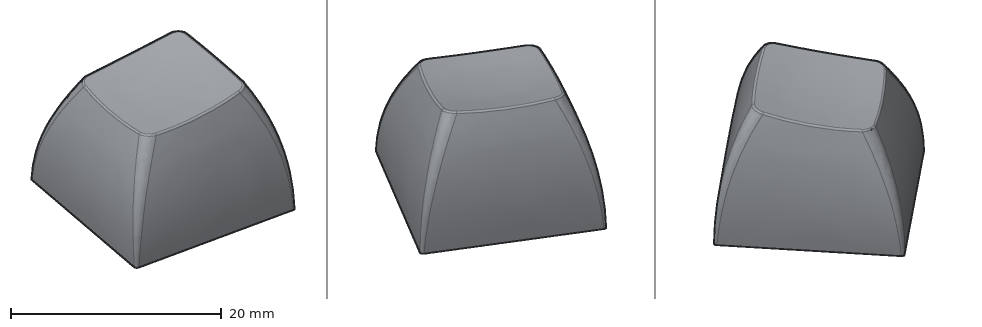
import cadquery as cq

base_size = 18.2
base_half = base_size / 2
base_corner = 0.3

top_rise = 12.5
side_inset, side_power = 2.95, 2.05
end_inset, end_power = 2.95, 2.35
top_corner = 1.25
top_bow = 0.18
top_tilt = 8.0

blank_rise = 14.5
blank_levels = 5

scoop_edge_z = 12.46
scoop_slope = 0.141
scoop_curvature = 0.0118
scoop_edge_x = 6.0
scoop_sag = 0.34
scoop_half_width = 10.0
scoop_reach = 10.0
scoop_top = 20.0

rim_fillet = 0.25


def blank_section(rise):
    """Bowed, corner-rounded section of the blank, tilted up toward +Y, with its centre at z = rise."""
    fraction = rise / top_rise
    bow = top_bow * fraction
    corner = base_corner + (top_corner - base_corner) * fraction
    half_x = base_half - side_inset * fraction**side_power
    half_y = base_half - end_inset * fraction**end_power
    if bow > 0:
        corner_x = half_x - bow
        corner_y = half_y - bow
        outline = (
            cq.Sketch()
            .arc((-corner_x, -corner_y), (0, -half_y), (corner_x, -corner_y))
            .arc((corner_x, -corner_y), (half_x, 0), (corner_x, corner_y))
            .arc((corner_x, corner_y), (0, half_y), (-corner_x, corner_y))
            .arc((-corner_x, corner_y), (-half_x, 0), (-corner_x, -corner_y))
            .assemble()
        )
    else:
        outline = cq.Sketch().rect(2 * half_x, 2 * half_y)
    rounded = outline.vertices().fillet(corner)
    return rounded.moved(cq.Location(cq.Vector(0, 0, rise), cq.Vector(1, 0, 0), top_tilt * fraction))


def make_blank():
    """Smooth loft through evenly spaced sections."""
    step = blank_rise / (blank_levels - 1)
    sections = [blank_section(step * i) for i in range(blank_levels)]
    return cq.Workplane("XY").placeSketch(*sections).loft()


def scoop_section(y):
    """Closed XZ wire at y: a sagging arc below, a flat lid above."""
    half_width = scoop_half_width
    edge_z = scoop_edge_z + scoop_slope * y + scoop_curvature * y**2
    lowest = edge_z - scoop_sag
    arc_end_z = lowest + scoop_sag * (half_width / scoop_edge_x) ** 2
    outline = (
        cq.Workplane("XZ", origin=(0, y, 0))
        .moveTo(-half_width, arc_end_z)
        .threePointArc((0, lowest), (half_width, arc_end_z))
        .lineTo(half_width, scoop_top)
        .lineTo(-half_width, scoop_top)
        .close()
    )
    return outline.val()


def make_scoop():
    """Cutter lofted along Y through three arc-bottomed sections."""
    wires = [scoop_section(y) for y in (-scoop_reach, 0, scoop_reach)]
    return cq.Workplane(cq.Solid.makeLoft(wires))


cap = make_blank().cut(make_scoop())
result = cap.faces(">Z").edges().fillet(rim_fillet)